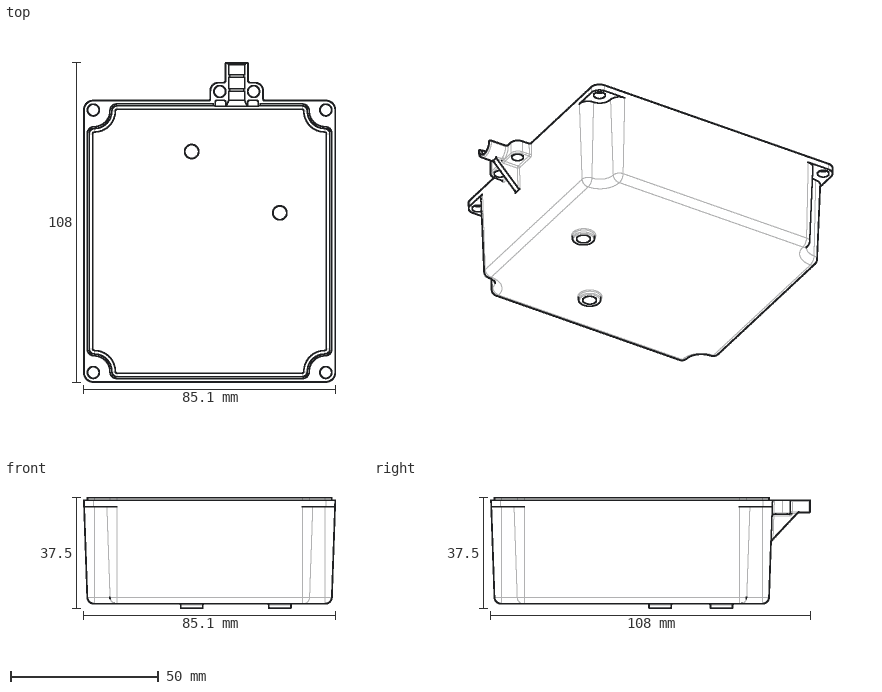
import cadquery as cq
import math

box_x = 85.1
box_y = 95.2
flange_top = 35.1
flange_thickness = 2.3
flange_bottom = flange_top - flange_thickness
wall = 1.8
floor_thickness = 2.0
draft = 2.0
bottom_round = 2.4

screw_inset = 3.2
screw_hole_d = 3.9
recess_inset = 3.6
recess_radius = 4.1

lip_inset = 1.2
lip_height = 0.9

feet = [(-6.0, 30.3), (23.7, 9.6)]
foot_d = 7.6
foot_height = 1.5
foot_hole_d = 4.6
foot_rim_round = 0.3
foot_root_round = 0.3

clamp_x = 9.2
overall_y = 108.0
clamp_length = overall_y - box_y
edge_round = 0.4
neck_round = 0.6
root_round = 0.5
lip_gap = 16.0

trough_width = 7.7
trough_depth = 4.2
channel_width = 5.4
channel_depth = 3.0
grip_rib_positions = (3.6, 8.2)
grip_rib_width = 0.9
grip_rib_height = 0.3
inner_mouth_length = 2.2
inner_mouth_widening = 1.0
inner_mouth_deepening = 1.8
outer_mouth_length = 0.8
outer_mouth_flare = 0.3

ear_span = 17.9
ear_length = 6.0
ear_depth = 4.7
ear_round = 2.8
clamp_hole_spacing = 11.4
clamp_hole_y = ear_length / 2
clamp_hole_d = screw_hole_d

gusset_thickness = 2.0
gusset_reach = 9.2
gusset_drop = 15.3

pocket_width = 3.6
pocket_depth = 4.0
pocket_offset = 5.5
pocket_round = 0.5

wall_y = box_y / 2

margin = 0.1


def recessed_outline(inset, z):
    """Rectangle inset from the flange edge whose corners curve in around the screw holes."""
    half_x = box_x / 2 - inset
    half_y = box_y / 2 - inset
    convex = recess_inset - inset
    concave = recess_radius + inset
    centre_x = box_x / 2 - recess_inset
    centre_y = box_y / 2 - recess_inset
    near_x = centre_x - concave
    near_y = centre_y - concave
    diagonal = math.sqrt(0.5)

    def corner(sx, sy):
        """Points from the X-facing wall to the Y-facing wall of one corner."""
        bend_y = near_y - convex
        bend_x = near_x - convex
        points = [
            (half_x, bend_y),
            (centre_x + convex * diagonal, bend_y + convex * diagonal),
            (centre_x, near_y),
            (centre_x - concave * diagonal, centre_y - concave * diagonal),
            (near_x, centre_y),
            (bend_x + convex * diagonal, centre_y + convex * diagonal),
            (bend_x, half_y),
        ]
        return [(sx * x, sy * y) for x, y in points]

    corners = [corner(1, 1), corner(-1, 1)[::-1], corner(-1, -1), corner(1, -1)[::-1]]
    outline = cq.Workplane("XY", origin=(0, 0, z)).moveTo(*corners[0][0])
    for index, points in enumerate(corners):
        if index > 0:
            outline = outline.lineTo(*points[0])
        for middle, end in zip(points[1::2], points[2::2]):
            outline = outline.threePointArc(middle, end)
    return outline.close()


def make_tub():
    """Drafted outer shell with a rounded-rectangle flange on top, both on the same side planes."""
    body = recessed_outline(0, flange_top).extrude(-flange_top, taper=draft)
    body = body.faces("<Z").edges().fillet(bottom_round)
    flange = (
        cq.Workplane("XY")
        .sketch()
        .rect(box_x, box_y)
        .vertices()
        .fillet(screw_inset)
        .finalize()
        .extrude(-flange_thickness, taper=draft)
        .translate((0, 0, flange_top))
    )
    return body.union(flange)


def make_lip():
    lip = recessed_outline(lip_inset, flange_top).extrude(lip_height)
    gap = cq.Workplane("XY", origin=(clamp_x, wall_y, flange_top)).box(
        lip_gap, 2 * ear_length, lip_height, centered=(True, True, False)
    )
    return lip.cut(gap)


def make_feet():
    """Feet that reach up into the floor, with rounded lower rims."""
    return (
        cq.Workplane("XY", origin=(0, 0, -foot_height))
        .pushPoints(feet)
        .circle(foot_d / 2)
        .extrude(foot_height + floor_thickness)
        .faces("<Z")
        .edges()
        .fillet(foot_rim_round)
    )


def u_outline(width, depth, y):
    """U-shaped outline hanging from the flange top; y is the distance out from the box side."""
    radius = width / 2
    straight = depth - radius
    return (
        cq.Workplane("XZ", origin=(clamp_x, wall_y + y, flange_top))
        .moveTo(-radius, 0)
        .lineTo(-radius, -straight)
        .threePointArc((0, -depth), (radius, -straight))
        .lineTo(radius, 0)
        .close()
    )


def u_bar(width, depth, start, end):
    return u_outline(width, depth, start).extrude(start - end)


def channel_mouth(narrow_y, wide_y, widening, deepening):
    """Stretch of the cable channel that flares from its normal section towards wide_y."""
    narrow = u_outline(channel_width, channel_depth, narrow_y).wires().val()
    wide = u_outline(channel_width + 2 * widening, channel_depth + deepening, wide_y).wires().val()
    return cq.Workplane(cq.Solid.makeLoft([narrow, wide], True))


def edges_near(y, half_span):
    """Selector for the edges of the clamp that lie in the plane at y, up to half_span from its axis."""
    return cq.selectors.BoxSelector(
        (clamp_x - half_span - margin, y - margin, flange_top - ear_depth - margin),
        (clamp_x + half_span + margin, y + margin, flange_top - margin),
    )


def root_edges(width, bottom, top):
    """Selector for the edges where both sides of a clamp feature of this width meet the box wall."""
    y_range = (wall_y - wall, wall_y + margin)
    left, right = [
        cq.selectors.BoxSelector((x - margin, y_range[0], bottom), (x + margin, y_range[1], top))
        for x in (clamp_x - width / 2, clamp_x + width / 2)
    ]
    return left + right


def make_clamp():
    ear_end = wall_y + ear_length
    ears = (
        cq.Workplane("XY", origin=(clamp_x, wall_y, flange_top - ear_depth))
        .rect(ear_span, 2 * ear_length)
        .extrude(ear_depth)
        .edges("|Z")
        .fillet(ear_round)
        .faces("<Z")
        .edges()
        .fillet(edge_round)
    )
    behind_wall = cq.Workplane("XY", origin=(clamp_x, wall_y - wall, flange_top)).box(
        2 * ear_span, 2 * ear_span, 2 * ear_depth, centered=(True, False, True)
    )
    ears = ears.intersect(behind_wall)
    trough = u_bar(trough_width, trough_depth, -wall, clamp_length)
    trough = trough.faces(">Y").edges("not(>Z)").fillet(edge_round)
    clamp = ears.union(trough)
    clamp = clamp.edges(edges_near(ear_end, trough_width / 2)).fillet(neck_round)
    gusset = (
        cq.Workplane("YZ", origin=(clamp_x, wall_y, flange_top))
        .moveTo(-wall, -channel_depth)
        .lineTo(gusset_reach, -(channel_depth + trough_depth) / 2)
        .lineTo(-wall, -gusset_drop)
        .close()
        .extrude(gusset_thickness / 2, both=True)
    )
    return clamp.union(gusset)


def make_cavity():
    lip_top = flange_top + lip_height
    return recessed_outline(wall, lip_top).extrude(floor_thickness - lip_top, taper=draft)


def make_channel():
    channel = u_bar(channel_width, channel_depth, -2 * wall, clamp_length)
    for position in grip_rib_positions:
        slice_start = position - grip_rib_width / 2
        slice_end = position + grip_rib_width / 2
        rib = u_bar(channel_width, channel_depth, slice_start, slice_end)
        opening = u_bar(
            channel_width - 2 * grip_rib_height, channel_depth - grip_rib_height, slice_start, slice_end
        )
        channel = channel.cut(rib).union(opening)
    inner_mouth = channel_mouth(0, -inner_mouth_length, inner_mouth_widening, inner_mouth_deepening)
    outer_mouth = channel_mouth(
        clamp_length - outer_mouth_length, clamp_length, outer_mouth_flare, outer_mouth_flare
    )
    return channel.union(inner_mouth).union(outer_mouth)


def make_pockets():
    """Pockets beside the channel, sunk from the flange top and open to the inside of the box."""
    return (
        cq.Workplane("XY", origin=(clamp_x, wall_y, flange_top))
        .pushPoints([(-pocket_offset, -wall), (pocket_offset, -wall)])
        .rect(pocket_width, 2 * wall)
        .extrude(-pocket_depth)
        .edges("|Z and >Y")
        .fillet(pocket_round)
    )


def make_holes():
    screw_holes = (
        cq.Workplane("XY", origin=(0, 0, flange_bottom))
        .rect(box_x - 2 * screw_inset, box_y - 2 * screw_inset, forConstruction=True)
        .vertices()
        .circle(screw_hole_d / 2)
        .extrude(flange_thickness)
    )
    clamp_holes = (
        cq.Workplane("XY", origin=(clamp_x, wall_y + clamp_hole_y, flange_top))
        .pushPoints([(-clamp_hole_spacing / 2, 0), (clamp_hole_spacing / 2, 0)])
        .circle(clamp_hole_d / 2)
        .extrude(-ear_depth)
    )
    foot_holes = (
        cq.Workplane("XY", origin=(0, 0, -foot_height))
        .pushPoints(feet)
        .circle(foot_hole_d / 2)
        .extrude(foot_height + floor_thickness)
    )
    return screw_holes.union(clamp_holes).union(foot_holes)


def foot_root_edges():
    """Selector for the circles where the feet meet the underside, without the rim of the floor."""
    reach_x = box_x / 2 - wall
    reach_y = box_y / 2 - foot_d
    return cq.selectors.BoxSelector(
        (-reach_x, -reach_y, -margin), (reach_x, reach_y, margin), boundingbox=True
    )


ear_bottom = flange_top - ear_depth
body = make_tub().union(make_clamp())
body = body.edges(root_edges(ear_span, ear_bottom, flange_top - edge_round)).fillet(root_round)
body = body.edges(root_edges(gusset_thickness, 0, ear_bottom - edge_round)).fillet(root_round)
body = body.union(make_lip()).union(make_feet())
body = body.edges(foot_root_edges()).fillet(foot_root_round)
body = body.cut(make_cavity()).cut(make_channel()).cut(make_pockets()).cut(make_holes())
result = body.solids()